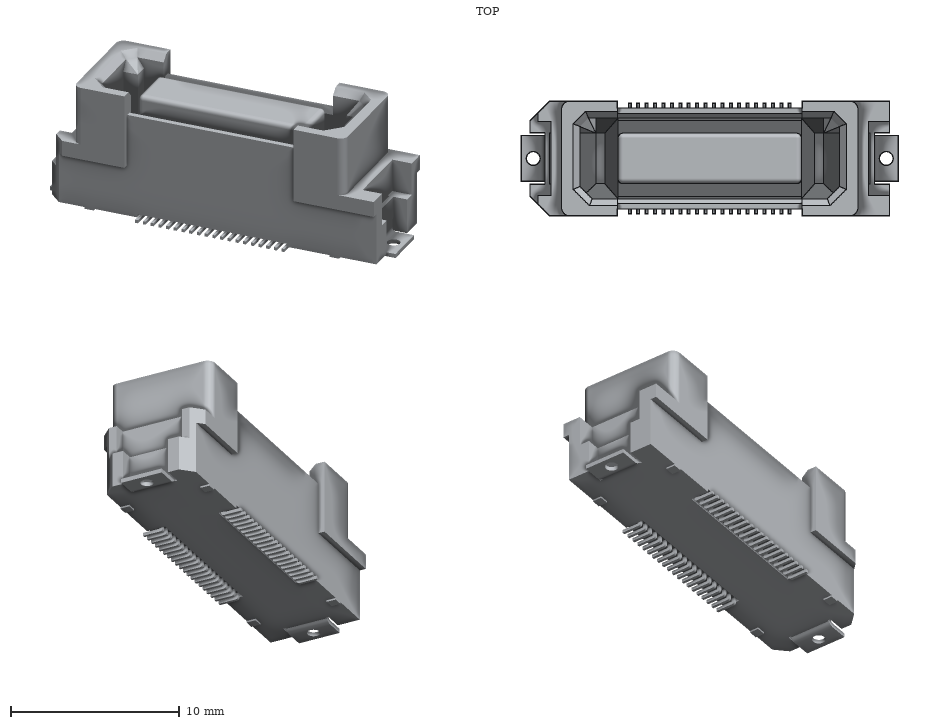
import cadquery as cq
import math


body_bottom = 0.22
foot_bottom = 0.11
end_ledge_z = 2.46
flange_bottom = 3.56
flange_top = 4.55
wall_top = 6.9
island_top = 7.5
tower_top = 8.3

overall_half = 11.2
body_half = 10.68
tower_half = 8.8
tower_inner = 5.49
upper_end = 10.21
end_recess_x = 9.43
slot_x = 9.8
cavity_half_x = 8.1

flange_half_y = 3.4
body_half_y = 3.0
end_recess_half_y = 2.2
slot_half_y = 1.52
cavity_half_y = 2.8

end_chamfer = 1.16
tower_radius = 0.5

lead_in = 0.4
post_corner_leg = 0.75
open_corner_leg = 0.96
lead_in_bottom = tower_top - lead_in
inner_x = cavity_half_x - lead_in
inner_y = cavity_half_y - lead_in
wall_lead_in = 0.27
cavity_floor = 2.02
channel_half_y = 2.26
channel_ledge_z = 2.46
pit_depth = 0.9
pit_bottom = cavity_floor - pit_depth
pit_floor_outer_x = 6.76
pit_floor_inner_x = 6.23

post_x = pit_floor_outer_x
post_y = 1.5
post_low_z = 7.25

island_half_x = 5.45
island_half_y = 1.5
island_radius = 0.3

tab_thickness = 0.27
plate_back_x = slot_x - tab_thickness
tab_half_y = 1.37
tab_inner_radius = 0.25
tab_shoulder_z = 1.1
tab_shoulder_width = slot_half_y - tab_half_y
tab_hole_x = 10.48
tab_hole_diameter = 0.8
tab_gap_depth = 0.22

contact_count = 20
contact_row_span = 9.5
contact_pitch = contact_row_span / (contact_count - 1)
contact_width = 0.18
contact_thickness = 0.2
contact_tip_y = 3.3
contact_back_y = 1.97
contact_bend_radius = 0.18
contact_recess_half = 4.85
contact_recess_top = 0.43
contact_recess_back_y = 1.8

foot_x = 7.95
foot_size = 0.6


def box(x0, x1, y0, y1, z0, z1):
    """Axis-aligned block between two opposite corners."""
    return cq.Workplane("XY").box(x1 - x0, y1 - y0, z1 - z0, centered=False).translate((x0, y0, z0))


def both_ends(shape):
    """The shape together with its mirror image at the other X end."""
    return shape.union(shape.mirror("YZ"))


def both_sides(shape):
    """The shape together with its mirror image at the other Y side."""
    return shape.union(shape.mirror("XZ"))


def make_shell():
    """Outer housing: base, flanged ends and the two rounded towers."""
    base = box(-body_half, body_half, -body_half_y, body_half_y, body_bottom, flange_top)
    walls = box(-tower_inner, tower_inner, -body_half_y, body_half_y, body_bottom, wall_top)
    flange = box(tower_inner, body_half, -flange_half_y, flange_half_y, flange_bottom, flange_top)
    tower = box(tower_inner, tower_half, -flange_half_y, flange_half_y, flange_bottom, tower_top)
    tower = tower.edges("|Z and >X").fillet(tower_radius)
    shell = base.union(walls).union(both_ends(flange.union(tower)))

    corner = (
        cq.Workplane("XY")
        .moveTo(-body_half, flange_half_y)
        .lineTo(-body_half + end_chamfer, flange_half_y)
        .lineTo(-body_half, flange_half_y - end_chamfer)
        .close()
        .extrude(flange_top)
    )
    set_back = box(-body_half, -upper_end, -flange_half_y, flange_half_y, end_ledge_z, flange_top)
    return shell.cut(both_sides(corner)).cut(set_back)


def make_end_cuts():
    """Recess above each end ledge, the tab slot and the gap behind the tab plate."""
    recess = box(end_recess_x, body_half, -end_recess_half_y, end_recess_half_y, end_ledge_z, flange_top)
    slot = box(slot_x, body_half, -slot_half_y, slot_half_y, body_bottom, end_ledge_z)
    gap_bottom = end_ledge_z - tab_gap_depth
    gap = box(end_recess_x, plate_back_x, -slot_half_y, slot_half_y, gap_bottom, end_ledge_z)
    side_relief = (
        cq.Workplane("YZ")
        .workplane(offset=plate_back_x)
        .moveTo(tab_half_y, body_bottom)
        .lineTo(tab_half_y, tab_shoulder_z - tab_shoulder_width)
        .lineTo(slot_half_y, tab_shoulder_z)
        .lineTo(slot_half_y, body_bottom)
        .close()
        .extrude(tab_thickness)
    )
    return both_ends(recess.union(slot).union(gap).union(both_sides(side_relief)))


def make_post():
    """Key post at the +X +Y cavity corner, its top falling inwards on three slopes."""
    rim_corner_leg = post_corner_leg - (2 - math.sqrt(2)) * lead_in
    rim_point_x = cq.Vector(inner_x, inner_y - rim_corner_leg, lead_in_bottom)
    rim_point_y = cq.Vector(inner_x - rim_corner_leg, inner_y, lead_in_bottom)
    tip = cq.Vector(post_x, post_y, post_low_z)
    along_x = cq.Vector(1, 0, 0)
    along_y = cq.Vector(0, 1, 0)

    post = box(post_x, cavity_half_x, post_y, cavity_half_y, pit_bottom, lead_in_bottom)
    slopes = [
        (rim_point_x - tip, rim_point_y - tip),
        (rim_point_y - tip, along_y),
        (along_x, rim_point_x - tip),
    ]
    for first, second in slopes:
        slope = cq.Plane(origin=tip, xDir=first, normal=first.cross(second))
        post = post.cut(cq.Workplane(slope).rect(overall_half, overall_half).extrude(overall_half))
    return post


def make_lead_in():
    """Tapered mouth of the cavity, with longer cut corners on the -Y side."""
    right_half = [
        (0, cavity_half_y),
        (cavity_half_x - post_corner_leg, cavity_half_y),
        (cavity_half_x, cavity_half_y - post_corner_leg),
        (cavity_half_x, open_corner_leg - cavity_half_y),
        (cavity_half_x - open_corner_leg, -cavity_half_y),
        (0, -cavity_half_y),
    ]
    return (
        cq.Workplane("XY")
        .workplane(offset=tower_top)
        .polyline(right_half)
        .mirrorY()
        .extrude(-lead_in, taper=45)
    )


def make_pit():
    """Hopper-shaped pit between the island and the +X end of the cavity."""
    floor_length = pit_floor_outer_x - pit_floor_inner_x
    rim_length = inner_x - island_half_x
    floor_center = (pit_floor_outer_x + pit_floor_inner_x) / 2
    rim_center = (inner_x + island_half_x) / 2
    return (
        cq.Workplane("XY")
        .workplane(offset=pit_bottom)
        .center(floor_center, 0)
        .rect(floor_length, 2 * island_half_y)
        .workplane(offset=pit_depth)
        .center(rim_center - floor_center, 0)
        .rect(rim_length, 2 * inner_y)
        .loft(ruled=True)
    )


def make_cavity():
    """Pocket with lead-ins, ledges beside the island, two end pits and two key posts."""
    mouth = make_lead_in()
    shaft = mouth.faces("<Z").wires().toPending().workplane().extrude(lead_in_bottom - pit_bottom)
    well_floor = box(-inner_x, inner_x, -inner_y, inner_y, pit_bottom, cavity_floor)
    ledge = box(-island_half_x, island_half_x, channel_half_y, inner_y, cavity_floor, channel_ledge_z)
    well = shaft.cut(well_floor.cut(both_ends(make_pit())))
    well = well.cut(both_sides(ledge)).cut(both_ends(make_post()))

    wall_mouth = (
        cq.Workplane("YZ")
        .moveTo(inner_y, wall_top - wall_lead_in)
        .lineTo(inner_y + wall_lead_in, wall_top)
        .lineTo(inner_y, wall_top)
        .close()
        .extrude(tower_inner, both=True)
    )
    return mouth.union(well).union(both_sides(wall_mouth))


def make_island():
    """Rounded centre block standing on the cavity floor."""
    block = box(-island_half_x, island_half_x, -island_half_y, island_half_y, cavity_floor, island_top)
    return block.edges("|Z").fillet(island_radius).faces(">Z").edges().fillet(island_radius)


def make_tab():
    """Bent hold-down at the +X end: drilled solder tab and upright plate with shoulders."""
    bend_x = slot_x + tab_inner_radius
    outer_radius = tab_thickness + tab_inner_radius
    bend_z = outer_radius
    strip = (
        cq.Workplane("XZ")
        .moveTo(overall_half, 0)
        .lineTo(bend_x, 0)
        .radiusArc((plate_back_x, bend_z), outer_radius)
        .lineTo(plate_back_x, end_ledge_z)
        .lineTo(slot_x, end_ledge_z)
        .lineTo(slot_x, bend_z)
        .radiusArc((bend_x, tab_thickness), -tab_inner_radius)
        .lineTo(overall_half, tab_thickness)
        .close()
        .extrude(tab_half_y, both=True)
    )
    shoulder = (
        cq.Workplane("YZ")
        .workplane(offset=plate_back_x)
        .moveTo(tab_half_y, tab_shoulder_z - tab_shoulder_width)
        .lineTo(slot_half_y, tab_shoulder_z)
        .lineTo(slot_half_y, end_ledge_z)
        .lineTo(tab_half_y, end_ledge_z)
        .close()
        .extrude(tab_thickness)
    )
    hole = cq.Workplane("XY").center(tab_hole_x, 0).circle(tab_hole_diameter / 2).extrude(tab_thickness)
    return strip.union(both_sides(shoulder)).cut(hole)


def make_contact_recess():
    """Shallow recess under the +Y edge of the base, where the contacts come out."""
    return box(
        -contact_recess_half, contact_recess_half,
        contact_recess_back_y, body_half_y,
        body_bottom, contact_recess_top,
    )


def make_contact_row():
    """Row of L-shaped contacts on the +Y side."""
    contact = (
        cq.Workplane("YZ")
        .moveTo(contact_tip_y, 0)
        .lineTo(contact_back_y, 0)
        .lineTo(contact_back_y, contact_recess_top)
        .lineTo(contact_back_y + contact_thickness, contact_recess_top)
        .lineTo(contact_back_y + contact_thickness, contact_thickness)
        .lineTo(contact_tip_y, contact_thickness)
        .close()
        .extrude(contact_width / 2, both=True)
        .edges("|X and <Z and <Y")
        .fillet(contact_bend_radius)
    )
    first_x = -contact_row_span / 2
    row = contact.translate((first_x, 0, 0))
    for index in range(1, contact_count):
        row = row.union(contact.translate((first_x + index * contact_pitch, 0, 0)))
    return row


def make_foot():
    """Standoff foot under the +X +Y part of the base, flush with the side."""
    return box(
        foot_x - foot_size / 2, foot_x + foot_size / 2,
        body_half_y - foot_size, body_half_y,
        foot_bottom, body_bottom,
    )


housing = make_shell().cut(make_end_cuts()).cut(make_cavity()).union(make_island())
housing = housing.cut(both_sides(make_contact_recess()))
housing = housing.union(both_sides(both_ends(make_foot())))
housing = housing.union(both_ends(make_tab()))
result = housing.union(both_sides(make_contact_row()))